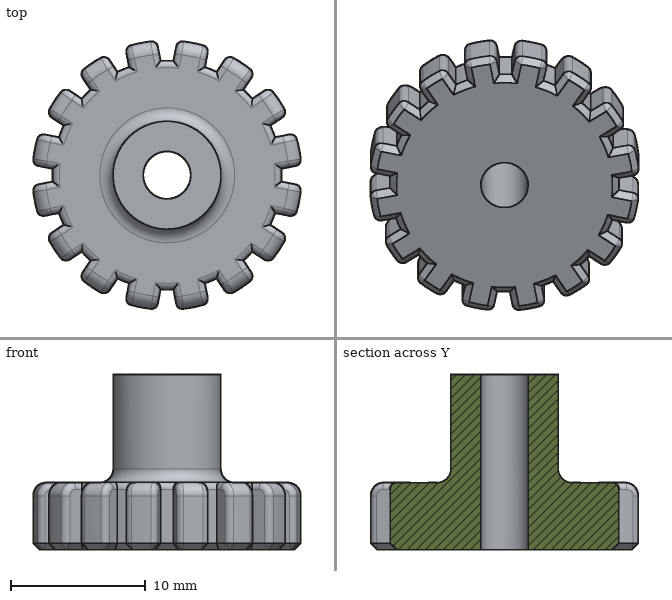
import cadquery as cq
import math

TOOTH_COUNT = 16
TOOTH_WIDTH = 2.4
TIP_RADIUS = 10.0
ROOT_RADIUS = 8.5
WHEEL_THICKNESS = 5.0
TIP_ROUNDING = 1.0
EDGE_ROUNDING = 0.5
BOTTOM_CHAMFER = 0.499

HUB_DIAMETER = 8.0
TOTAL_HEIGHT = 13.0
HUB_FILLET = 1.0
BORE_DIAMETER = 3.5

TOOTH_PITCH = 360.0 / TOOTH_COUNT
TOLERANCE = 1e-3


def rim_disc():
    """Disc out to the tooth tips with a rounded upper rim."""
    disc = cq.Workplane("XY").circle(TIP_RADIUS).extrude(WHEEL_THICKNESS)
    return disc.faces(">Z").edges().fillet(TIP_ROUNDING)


def tooth_layout():
    """Root cylinder with parallel-sided teeth, half a pitch away from the X axis."""
    layout = cq.Workplane("XY").circle(ROOT_RADIUS).extrude(WHEEL_THICKNESS)
    bar_length = 2 * (TIP_RADIUS + TIP_ROUNDING)
    for index in range(TOOTH_COUNT // 2):
        bar = cq.Workplane("XY").rect(bar_length, TOOTH_WIDTH).extrude(WHEEL_THICKNESS)
        angle = (index + 0.5) * TOOTH_PITCH
        layout = layout.union(bar.rotate((0, 0, 0), (0, 0, 1), angle))
    return layout


def is_edge_to_round(edge):
    """True for the tooth flank outlines and the upper edges of the gap floors."""
    center = edge.Center()
    radius = math.hypot(center.x, center.y)
    if center.z < TOLERANCE:
        return False
    if edge.geomType() == "LINE":
        is_upright = abs(edge.tangentAt(0.5).z) > 1 - TOLERANCE
        return not is_upright or radius > ROOT_RADIUS + TOLERANCE
    start = edge.startPoint()
    end = edge.endPoint()
    if abs(start.z - end.z) > TOLERANCE:
        return True
    return abs(math.hypot(start.x, start.y) - ROOT_RADIUS) < TOLERANCE


def wheel():
    """Toothed wheel with rounded teeth and a chamfered underside."""
    body = rim_disc().intersect(tooth_layout())
    rounded_edges = [edge for edge in body.edges().vals() if is_edge_to_round(edge)]
    body = body.newObject(rounded_edges).fillet(EDGE_ROUNDING)
    return body.faces("<Z").edges().chamfer(BOTTOM_CHAMFER)


def hub():
    """Hub with a concave fillet that runs out onto the wheel's upper face."""
    hub_radius = HUB_DIAMETER / 2
    foot_radius = hub_radius + HUB_FILLET
    fillet_top = WHEEL_THICKNESS + HUB_FILLET
    fillet_drop = HUB_FILLET * math.sqrt(0.5)
    fillet_middle = (foot_radius - fillet_drop, fillet_top - fillet_drop)
    return (
        cq.Workplane("XZ")
        .moveTo(0, 0)
        .lineTo(foot_radius, 0)
        .lineTo(foot_radius, WHEEL_THICKNESS)
        .threePointArc(fillet_middle, (hub_radius, fillet_top))
        .lineTo(hub_radius, TOTAL_HEIGHT)
        .lineTo(0, TOTAL_HEIGHT)
        .close()
        .revolve(360, (0, 0, 0), (0, 1, 0))
    )


bore = cq.Workplane("XY").circle(BORE_DIAMETER / 2).extrude(TOTAL_HEIGHT)

result = wheel().union(hub()).cut(bore)